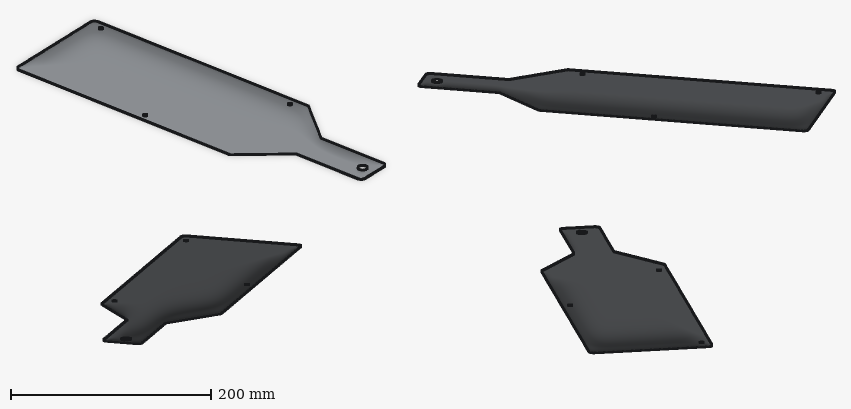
import cadquery as cq

length = 410.0
width = 125.0
thickness = 1.0

blade_length = 275.0
handle_start = 325.5
handle_width = 40.0
blade_corner_radius = 5.0
handle_corner_radius = 5.0

hang_hole_diameter = 10.0
hang_hole_end_distance = 15.0
pin_hole_diameter = 4.0
pin_hole_edge_distance = 8.5
upper_pin_hole_positions = (16.0, 258.5)
lower_pin_hole_position = 159.5

half_width = width / 2
half_handle = handle_width / 2
pin_hole_y = half_width - pin_hole_edge_distance


def make_plate():
    """Flat paddle, symmetric about the X axis, with rounded end corners."""
    upper_edge = [
        (0, half_width),
        (blade_length, half_width),
        (handle_start, half_handle),
        (length, half_handle),
    ]
    lower_edge = [(x, -y) for x, y in reversed(upper_edge)]
    plate = cq.Workplane("XY").polyline(upper_edge + lower_edge).close().extrude(thickness)
    plate = plate.edges("|Z and <X").fillet(blade_corner_radius)
    return plate.edges("|Z and >X").fillet(handle_corner_radius)


def drill(plate, diameter, points):
    """Cut through holes of one diameter at the given XY points."""
    cutters = cq.Workplane("XY").pushPoints(points).circle(diameter / 2).extrude(thickness)
    return plate.cut(cutters)


pin_holes = [(x, pin_hole_y) for x in upper_pin_hole_positions]
pin_holes.append((lower_pin_hole_position, -pin_hole_y))

result = make_plate()
result = drill(result, hang_hole_diameter, [(length - hang_hole_end_distance, 0)])
result = drill(result, pin_hole_diameter, pin_holes)